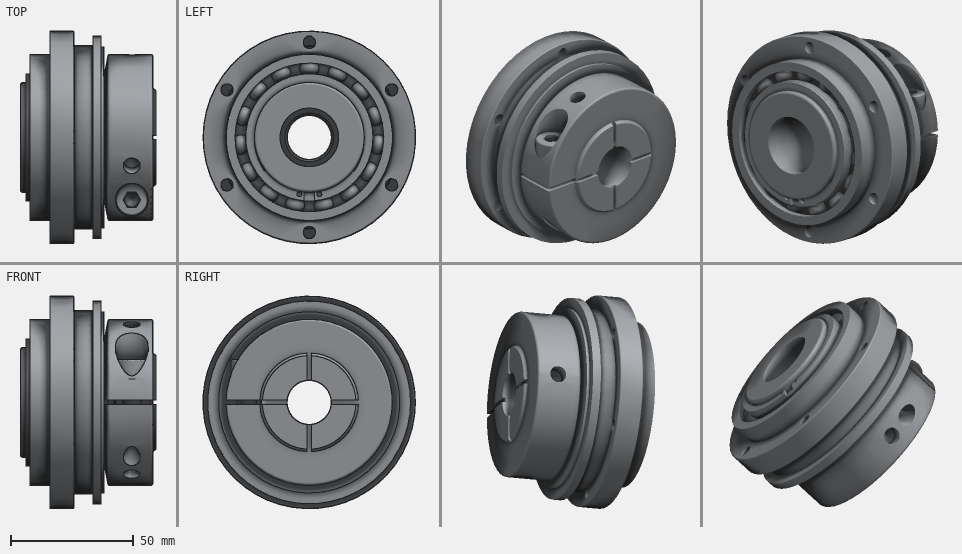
import cadquery as cq
import math


hub_radius = 22.49
hub_edge_fillet = 1.05
bore_front_radius = 12.0
bore_rear_radius = 9.005
bore_step_x = 31.3
bore_step_chamfer = 1.0

ring_front_x = 2.3
bearing_face_x = 3.8
ring_radius = 26.0
ring_gap_width = 4.2
ring_relief_offset = 0.8
ring_relief_end_z = -13.75
plier_hole_diameter = 2.0
plier_hole_y = 4.1
plier_hole_z = -23.2

housing_radius = 34.0
inner_race_radius = 26.14
outer_race_radius = 30.41
ball_count = 15
ball_diameter = 8.0
ball_circle_radius = (inner_race_radius + outer_race_radius) / 2
ball_center_x = 10.3
race_floor_x = ball_center_x
raceway_radius = ball_diameter / 2 + 0.1

flange_front_x = 12.0
flange_rear_x = 21.8
flange_radius = 43.5
flange_edge_fillet = 0.5
flange_seat_radius = 34.3
flange_seat_depth = 0.5
flange_hole_count = 6
flange_hole_diameter = 5.0
flange_hole_circle_radius = 38.9

neck_radius = 37.15
body_radius = 37.6
body_front_x = 22.1
body_rear_x = 29.2
groove_radius = 36.0
disc_front_x = 29.7
disc_radius = 41.5
disc_rear_x = 33.1
rear_ring_radius = 37.1
rear_ring_x = 34.2

collar_radius = 34.0
cone_small_radius = 25.05
collar_front_x = 35.9
collar_edge_fillet = 1.0
collar_rear_x = 54.2
collar_screw_x = 45.6

end_x = 55.5
end_inner_radius = 20.2
end_outer_radius = 19.1

slit_width = 1.8
slit_entry_x = 35.8
slit_entry_floor_radius = 14.8
slit_front_floor_radius = 13.9
slit_step_front_x = 38.0
slit_step_rear_x = 39.1
slit_rear_floor_radius = 20.0
slit_exit_x = 53.1
slit_exit_floor_radius = 19.6

screw_y = -25.5
counterbore_diameter = 13.5
head_diameter = 13.0
head_top_z = 17.5
head_height = 8.0
head_fillet = 0.7
shank_diameter = 8.0
socket_width = 6.2
socket_depth = 4.0
thread_hole_diameter = 6.8
thread_hole_top_z = -12.0

wrench_hole_diameter = 6.8
wrench_hole_floor_radius = 27.2
wrench_hole_angles = (20, 150, 270)
drill_point_angle = 118


def x_cylinder(radius, x_start, x_end, y=0, z=0):
    return cq.Workplane("YZ", origin=(x_start, y, z)).circle(radius).extrude(x_end - x_start)


def z_cylinder(diameter, z_start, z_end):
    """Cylinder on the clamp screw's axis."""
    plane = cq.Workplane("XY", origin=(collar_screw_x, screw_y, z_start))
    return plane.circle(diameter / 2).extrude(z_end - z_start)


def drill_cone_depth(radius):
    return radius / math.tan(math.radians(drill_point_angle / 2))


def turned_body():
    """Everything coaxial with X, with the stepped bore and the bearing's ball groove."""
    outline = [
        (0, bore_front_radius),
        (0, hub_radius),
        (ring_front_x, hub_radius),
        (ring_front_x, ring_radius),
        (bearing_face_x, ring_radius),
        (bearing_face_x, inner_race_radius),
        (race_floor_x, inner_race_radius),
        (race_floor_x, outer_race_radius),
        (bearing_face_x, outer_race_radius),
        (bearing_face_x, housing_radius),
        (flange_front_x + flange_seat_depth, housing_radius),
        (flange_front_x + flange_seat_depth, flange_seat_radius),
        (flange_front_x, flange_seat_radius),
        (flange_front_x, flange_radius),
        (flange_rear_x, flange_radius),
        (flange_rear_x, neck_radius),
        (body_front_x, neck_radius),
        (body_front_x, body_radius),
        (body_rear_x, body_radius),
        (body_rear_x, groove_radius),
        (disc_front_x, groove_radius),
        (disc_front_x, disc_radius),
        (disc_rear_x, disc_radius),
        (disc_rear_x, rear_ring_radius),
        (rear_ring_x, rear_ring_radius),
        (rear_ring_x, cone_small_radius),
        (collar_front_x, collar_radius),
        (collar_rear_x, collar_radius),
        (collar_rear_x, end_inner_radius),
        (end_x, end_outer_radius),
        (end_x, bore_rear_radius),
        (bore_step_x + bore_step_chamfer, bore_rear_radius),
        (bore_step_x, bore_rear_radius + bore_step_chamfer),
        (bore_step_x, bore_front_radius),
    ]
    body = cq.Workplane("XY").polyline(outline).close().revolve(360, (0, 0, 0), (1, 0, 0))

    def rim(x, radius):
        margin = 0.04
        box = cq.selectors.BoxSelector(
            (x - margin, -radius - margin, -radius - margin),
            (x + margin, radius + margin, radius + margin),
            boundingbox=True,
        )
        return body.edges(box).edges(cq.selectors.RadiusNthSelector(-1))

    body = rim(0, hub_radius).fillet(hub_edge_fillet)
    body = rim(flange_front_x, flange_radius).fillet(flange_edge_fillet)
    body = rim(flange_rear_x, flange_radius).fillet(flange_edge_fillet)
    body = rim(collar_front_x, collar_radius).fillet(collar_edge_fillet)
    body = rim(collar_rear_x, collar_radius).fillet(collar_edge_fillet)
    return body.cut(raceway())


def raceway():
    """Round groove in both races, in which the balls run; it ends at the race floor."""
    outline = cq.Workplane("XY").moveTo(race_floor_x, ball_circle_radius - raceway_radius)
    outline = outline.threePointArc(
        (race_floor_x - raceway_radius, ball_circle_radius),
        (race_floor_x, ball_circle_radius + raceway_radius),
    )
    return outline.close().revolve(360, (0, 0, 0), (1, 0, 0))


def balls():
    cluster = cq.Workplane("YZ", origin=(ball_center_x, 0, 0))
    return cluster.polarArray(ball_circle_radius, 90, 360, ball_count).sphere(ball_diameter / 2, combine=False)


def snap_ring_cuts():
    """Gap, pliers holes and inner relief of the snap ring."""
    thickness = bearing_face_x - ring_front_x
    gap = cq.Workplane("XY").box(thickness, ring_gap_width, ring_radius, centered=(False, True, False))
    gap = gap.translate((ring_front_x, 0, -hub_radius - ring_radius))
    relief = x_cylinder(hub_radius, ring_front_x, bearing_face_x, z=-ring_relief_offset)
    keep = cq.Workplane("XY").box(thickness, 2 * ring_radius, -ring_relief_end_z, centered=(False, True, False))
    relief = relief.intersect(keep.translate((ring_front_x, 0, ring_relief_end_z)))
    cuts = gap.union(relief.cut(x_cylinder(hub_radius, 0, bearing_face_x)))
    for y in (-plier_hole_y, plier_hole_y):
        cuts = cuts.union(x_cylinder(plier_hole_diameter / 2, ring_front_x, bearing_face_x, y, plier_hole_z))
    return cuts


def flange_holes():
    plane = cq.Workplane("YZ", origin=(flange_front_x, 0, 0))
    centers = plane.polarArray(flange_hole_circle_radius, 90, 360, flange_hole_count)
    return centers.circle(flange_hole_diameter / 2).extrude(flange_rear_x - flange_front_x)


def collar_slit():
    """Radial slit whose floor is turned about X, in steps."""
    outline = [
        (rear_ring_x, collar_radius),
        (rear_ring_x, slit_entry_floor_radius),
        (slit_entry_x, slit_entry_floor_radius),
        (slit_entry_x, slit_front_floor_radius),
        (slit_step_front_x, slit_front_floor_radius),
        (slit_step_rear_x, slit_rear_floor_radius),
        (slit_exit_x, slit_rear_floor_radius),
        (slit_exit_x, slit_exit_floor_radius),
        (collar_rear_x, slit_exit_floor_radius),
        (collar_rear_x, collar_radius),
    ]
    ring = cq.Workplane("XY").polyline(outline).close().revolve(360, (0, 0, 0), (1, 0, 0))
    slab = cq.Workplane("XY").box(end_x, collar_radius, slit_width, centered=(False, False, True))
    return ring.intersect(slab.translate((0, -collar_radius, 0)))


def end_slots():
    """Two crossed slots through the end of the hub."""
    length = end_x - collar_rear_x
    span = 2 * end_inner_radius
    placed = cq.Workplane("XY", origin=((collar_rear_x + end_x) / 2, 0, 0))
    return placed.box(length, span, slit_width).union(placed.box(length, slit_width, span))


def clamp_screw():
    head_bottom_z = head_top_z - head_height
    head = z_cylinder(head_diameter, head_bottom_z, head_top_z).faces(">Z").edges().fillet(head_fillet)
    corner_diameter = socket_width / math.cos(math.pi / 6)
    socket_floor_z = head_top_z - socket_depth
    socket_plane = cq.Workplane("XY", origin=(collar_screw_x, screw_y, socket_floor_z))
    socket = socket_plane.polygon(6, corner_diameter).extrude(socket_depth)
    cone_radius = socket_width / 2
    point = cq.Solid.makeCone(
        cone_radius,
        0,
        drill_cone_depth(cone_radius),
        pnt=cq.Vector(collar_screw_x, screw_y, socket_floor_z),
        dir=cq.Vector(0, 0, -1),
    )
    shank = z_cylinder(shank_diameter, thread_hole_top_z, head_bottom_z)
    return head.cut(socket).cut(cq.Workplane(point)).union(shank)


def screw_holes():
    counterbore = z_cylinder(counterbore_diameter, head_top_z - head_height, collar_radius)
    return counterbore.union(z_cylinder(thread_hole_diameter, -collar_radius, thread_hole_top_z))


def wrench_hole(angle):
    radius = wrench_hole_diameter / 2
    depth = collar_radius - wrench_hole_floor_radius + 0.9
    hole = cq.Workplane("XY", origin=(collar_screw_x, 0, wrench_hole_floor_radius)).circle(radius).extrude(depth)
    point = cq.Solid.makeCone(
        radius,
        0,
        drill_cone_depth(radius),
        pnt=cq.Vector(collar_screw_x, 0, wrench_hole_floor_radius),
        dir=cq.Vector(0, 0, -1),
    )
    return hole.union(cq.Workplane(point)).rotate((0, 0, 0), (1, 0, 0), angle)


result = turned_body().union(balls())
result = result.cut(snap_ring_cuts()).cut(flange_holes())
result = result.cut(collar_slit()).cut(end_slots()).cut(screw_holes())
for hole_angle in wrench_hole_angles:
    result = result.cut(wrench_hole(hole_angle))
result = result.union(clamp_screw())